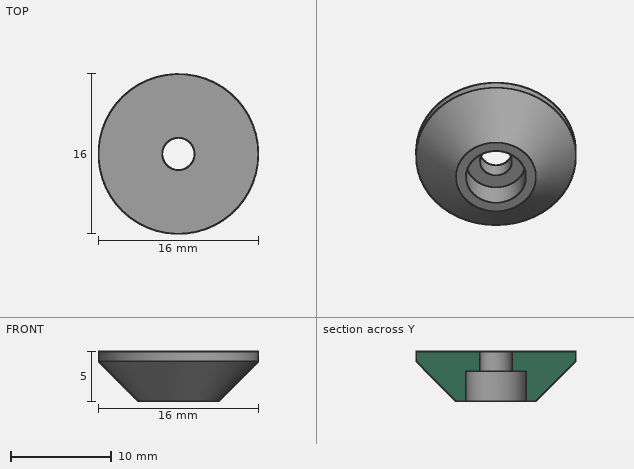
import cadquery as cq

rim_diameter = 16.0
total_height = 5.0
rim_thickness = 1.0
base_diameter = 8.0

hole_diameter = 3.2
hole_depth = 2.0
counterbore_diameter = 6.0
counterbore_depth = total_height - hole_depth

cone_height = total_height - rim_thickness


def make_body():
    """Revolve the half section of the rim and cone about Z."""
    rim_radius = rim_diameter / 2
    base_radius = base_diameter / 2
    half_section = (
        cq.Workplane("XZ")
        .moveTo(0, 0)
        .lineTo(base_radius, 0)
        .lineTo(rim_radius, cone_height)
        .lineTo(rim_radius, total_height)
        .lineTo(0, total_height)
        .close()
    )
    return half_section.revolve(360, (0, 0, 0), (0, 1, 0))


def make_bore():
    """Through hole plus the counterbore entering from the small end at Z = 0."""
    hole = cq.Workplane("XY").circle(hole_diameter / 2).extrude(total_height)
    counterbore = cq.Workplane("XY").circle(counterbore_diameter / 2).extrude(counterbore_depth)
    return hole.union(counterbore)


result = make_body().cut(make_bore())